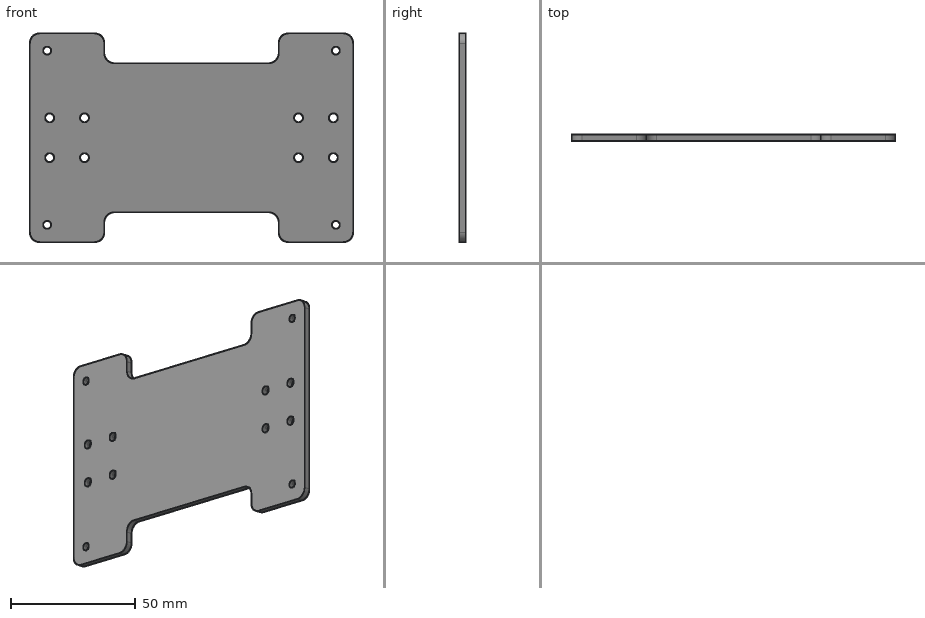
import cadquery as cq

plate_width = 130.0
plate_height = 84.0
plate_thickness = 2.8
notch_width = 70.0
notch_depth = 12.0
corner_radius = 4.0

corner_hole_diameter = 3.1
corner_hole_spacing_x = 116.0
corner_hole_spacing_z = 70.0

group_hole_diameter = 3.5
group_center_x = 50.0
group_hole_spacing_x = 14.0
group_hole_spacing_z = 16.0


def block(width, height, center_z):
    """Box of plate thickness, centred on the Z axis at height center_z."""
    return cq.Workplane("XY").box(width, plate_thickness, height).translate((0, 0, center_z))


def make_plate():
    """Notched plate with all its outline corners rounded."""
    plate = block(plate_width, plate_height, 0)
    notch_center_z = (plate_height - notch_depth) / 2
    for side in (-1, 1):
        plate = plate.cut(block(notch_width, notch_depth, side * notch_center_z))
    return plate.edges("|Y").fillet(corner_radius)


def hole_rectangle(diameter, spacing_x, spacing_z, center_x=0.0):
    """Four through-hole cutters at the corners of a rectangle."""
    return (
        cq.Workplane("XZ")
        .center(center_x, 0)
        .rect(spacing_x, spacing_z, forConstruction=True)
        .vertices()
        .circle(diameter / 2)
        .extrude(plate_thickness, both=True)
    )


result = make_plate()
result = result.cut(hole_rectangle(corner_hole_diameter, corner_hole_spacing_x, corner_hole_spacing_z))
for end in (-1, 1):
    result = result.cut(
        hole_rectangle(
            group_hole_diameter, group_hole_spacing_x, group_hole_spacing_z, end * group_center_x
        )
    )